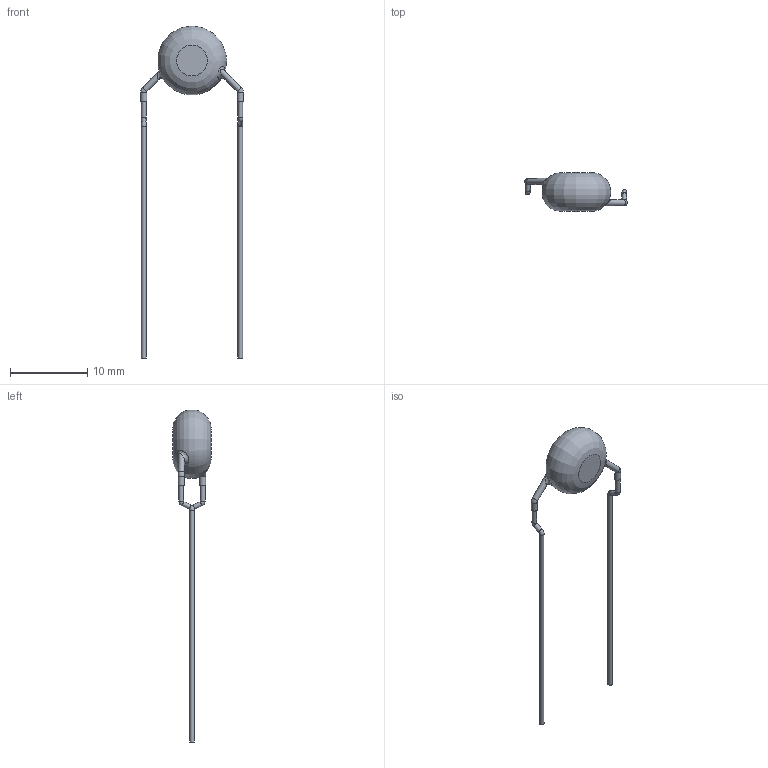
import cadquery as cq
import math

body_diameter = 9.0
body_thickness = 5.0
body_edge_radius = body_thickness / 2
body_flat_radius = body_diameter / 2 - body_edge_radius

lead_pitch = 12.5
lead_offset_x = lead_pitch / 2

coat_diameter = 0.8
coat_offset_y = 1.37
coat_slope_angle = 45.0
coat_bend_radius = 0.45
coat_corner_z = -3.9
coat_bottom_z = -5.27
coat_inner_x = 3.0
coat_root_fillet = 0.5

wire_diameter = 0.6
wire_offset_y = 1.4
wire_bend_radius = 0.4
wire_step_angle = 25.0
wire_top_z = (coat_corner_z + coat_bottom_z) / 2
wire_upper_corner_z = -7.57
overall_height = 43.0
wire_bottom_z = body_diameter / 2 - overall_height


def rounded_path(corners, bend_radius):
    """Wire through the corner points, with each inner corner rounded by an arc."""
    points = [cq.Vector(*corner) for corner in corners]
    edges = []
    start = points[0]
    for before, corner, after in zip(points, points[1:], points[2:]):
        incoming = (corner - before).normalized()
        outgoing = (after - corner).normalized()
        trim = bend_radius * math.tan(incoming.getAngle(outgoing) / 2)
        arc_start = corner - incoming * trim
        arc_end = corner + outgoing * trim
        edges.append(cq.Edge.makeLine(start, arc_start))
        edges.append(cq.Edge.makeTangentArc(arc_start, incoming, arc_end))
        start = arc_end
    edges.append(cq.Edge.makeLine(start, points[-1]))
    return cq.Wire.assembleEdges(edges)


def round_rod(corners, diameter, bend_radius):
    """Round rod swept along a path with rounded corners."""
    start = cq.Vector(*corners[0])
    direction = cq.Vector(*corners[1]) - start
    section = cq.Workplane(cq.Plane(origin=start, normal=direction)).circle(diameter / 2)
    return section.sweep(rounded_path(corners, bend_radius))


def make_body():
    """Flat-faced disc with a fully rounded rim."""
    half_thickness = body_thickness / 2
    return (
        cq.Workplane("XY")
        .moveTo(0, -half_thickness)
        .lineTo(body_flat_radius, -half_thickness)
        .threePointArc((body_diameter / 2, 0), (body_flat_radius, half_thickness))
        .lineTo(0, half_thickness)
        .close()
        .revolve(360, (0, 0, 0), (0, 1, 0))
    )


def make_coat():
    """Coated shoulder on the -X, +Y side."""
    slope_run = lead_offset_x - coat_inner_x
    slope_rise = slope_run * math.tan(math.radians(coat_slope_angle))
    corners = [
        (-lead_offset_x, coat_offset_y, coat_bottom_z),
        (-lead_offset_x, coat_offset_y, coat_corner_z),
        (-coat_inner_x, coat_offset_y, coat_corner_z + slope_rise),
    ]
    return round_rod(corners, coat_diameter, coat_bend_radius)


def make_wire():
    """Bare wire lead on the -X, +Y side."""
    step_drop = wire_offset_y * math.tan(math.radians(wire_step_angle))
    lower_corner_z = wire_upper_corner_z - step_drop
    corners = [
        (-lead_offset_x, wire_offset_y, wire_top_z),
        (-lead_offset_x, wire_offset_y, wire_upper_corner_z),
        (-lead_offset_x, 0, lower_corner_z),
        (-lead_offset_x, 0, wire_bottom_z),
    ]
    return round_rod(corners, wire_diameter, wire_bend_radius)


def add_opposite(feature):
    """The feature together with its copy turned half a turn about Z."""
    return [feature, feature.rotate((0, 0, 0), (0, 0, 1), 180)]


def fuse_all(base, features):
    for feature in features:
        base = base.union(feature)
    return base


coated_body = fuse_all(make_body(), add_opposite(make_coat()))
coated_body = coated_body.edges("%BSPLINE").fillet(coat_root_fillet)

result = fuse_all(coated_body, add_opposite(make_wire()))